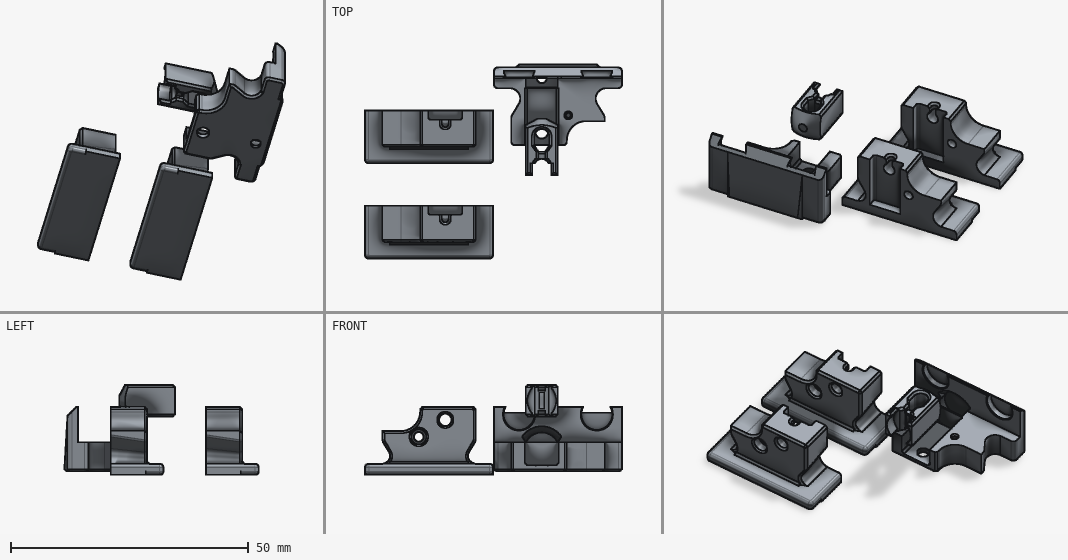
import cadquery as cq
import math

PLATE_LENGTH = 27.0
BLOCK_HALF = 9.85
BLOCK_RISE = 11.95
LEDGE_RISE = 6.9
STEP_OFFSET = 1.9
STEP_RADIUS = 4.0
FOOT_RADIUS = 2.15
NECK_HALF = 7.95
SLOPE_ANGLE = math.atan2(5, 3)
SHOULDER_BEVEL = (0.1, 0.45)
EDGE = 0.5

CHANNEL_OFFSET = 3.4
CHANNEL_WIDTH = 7.15
CHANNEL_DEPTH = 4.85
CHANNEL_CORNER = 0.55

SCREW_OFFSET = 2.15
SCREW_RISE = 5.7
WIRE_HOLE_RISE = 9.25
WIRE_HOLE_DIAMETER = 2.6

BRACKET_FRONTS = (0.0, 20.0)
BRACKET_DEPTH = 11.15
BRACKET_CENTRE = PLATE_LENGTH / 2
BRACKET_PLATE = 2.3
BRACKET_FACE = 3.45
FACE_FOOT_RADIUS = 1.6
FACE_NECK_HALF = 8.2
PLATE_CORNER = 0.85
PLATE_ROUND = 0.75
PLATE_NOSE = 3.8
POCKET_DEPTH = 1.95
WIRE_SLOT_WIDTH = 1.4
WIRE_SLOT_DEPTH = 1.55
WIRE_HOLE_SINK = 0.45
SCREW_HOLE = 2.0
SCREW_HEAD = 3.2
SCREW_HEAD_DEPTH = 2.15
SCREW_SINK = 0.4

TOTAL_LENGTH = 54.1
BASE_CENTRE = TOTAL_LENGTH - PLATE_LENGTH / 2
BASE_BOTTOM = 0.75
SHELF = 6.85
WALL_TOP = 14.3
PLATE_FACE = 35.8
WALL_FACE = 38.0
BASE_BACK = 40.25
WALL_LIP = 0.4
BACK_CORNER = 1.0
PAD_RISE = 0.65
PAD_HALF_TOP = 8.05
PAD_HALF_FOOT = 8.8
PAD_TOP = 12.35
MAGNET_SPACING = 16.35
MAGNET_RADIUS = 3.25
MAGNET_Z = 12.7
MAGNET_DEPTH = 1.55
MAGNET_RIM = 0.15
PILOT_DIAMETER = 1.7
PILOT_TIP = 1.05
PILOT_DEPTH = 3.25
SEAT_RADIUS = 3.75
SEAT_MOUTH_RADIUS = 5.05
SEAT_Z = 5.2
SEAT_FRONT = 36.1
SEAT_BACK = 39.9
SEAT_SPREAD = math.radians(35)
DRAIN_DIAMETER = 2.1
DRAIN_Y = (SEAT_FRONT + SEAT_BACK) / 2

CLIP_CENTRE = BASE_CENTRE - CHANNEL_OFFSET
CLIP_WIDTH = 6.75
CLIP_BOTTOM = 12.3
CLIP_TOP = 18.95
CLIP_HEIGHT = CLIP_TOP - CLIP_BOTTOM
CLIP_MIDDLE = (CLIP_TOP + CLIP_BOTTOM) / 2
CLIP_FRONT = 17.6
CLIP_BACK = 29.4
TIP_RADIUS = 1.0
TAIL_ANGLE = math.radians(28)
KEYHOLE_RADIUS = 1.595
KEYHOLE_BACK = 25.65
KEYHOLE_SHOULDER = 23.75
NECK_BACK = 22.5
CLIP_NECK_HALF = WIRE_SLOT_WIDTH / 2
WEB_HEIGHT = 4.35
WEB_CHAMFER = 0.5
WEB_RECESS_WIDTH = 1.15
WEB_RECESS_HEIGHT = 3.45
WEB_RECESS_DEPTH = 0.15
SADDLE_Y = 19.35
JAW_BACK = 20.1
JAW_HALF = 1.95
JAW_BULGE_HALF = 3.05
JAW_BULGE_HEIGHT = 5.5


def shoulder_block(plane, depth, side):
    """Stepped block without necks; local x is across, local y rises from the plate.

    side is +1 or -1 and tells on which side of the centre the ledge lies.
    """
    step = side * STEP_OFFSET
    ledge_end = side * (STEP_OFFSET + STEP_RADIUS)
    ledge_outer = side * BLOCK_HALF
    round_mid = (
        side * (STEP_OFFSET + STEP_RADIUS * (1 - math.cos(math.pi / 4))),
        LEDGE_RISE + STEP_RADIUS * (1 - math.sin(math.pi / 4)),
    )
    return (
        cq.Workplane(plane)
        .moveTo(-ledge_outer, 0)
        .lineTo(-ledge_outer, BLOCK_RISE)
        .lineTo(step, BLOCK_RISE)
        .lineTo(step, LEDGE_RISE + STEP_RADIUS)
        .threePointArc(round_mid, (ledge_end, LEDGE_RISE))
        .lineTo(ledge_outer, LEDGE_RISE)
        .lineTo(ledge_outer, 0)
        .close()
        .extrude(depth)
    )


def neck_outline(work, side, neck_half, radius):
    """Area cut away beside one neck: foot round, slope, bevel, then out past the block."""
    outer = BLOCK_HALF + FOOT_RADIUS
    centre = neck_half + radius
    tangent_turn = math.pi / 2 - SLOPE_ANGLE
    middle_turn = (tangent_turn - math.pi / 2) / 2

    def on_round(turn):
        return side * (centre - radius * math.cos(turn)), radius * (1 + math.sin(turn))

    tangent = on_round(tangent_turn)
    inset, bevel_rise = SHOULDER_BEVEL
    bevel_start = BLOCK_HALF - inset
    bevel_foot = tangent[1] + (bevel_start - abs(tangent[0])) * math.tan(SLOPE_ANGLE)
    outer_top = bevel_foot + (outer - bevel_start) * bevel_rise / inset
    return (
        work.moveTo(side * outer, 0)
        .lineTo(side * centre, 0)
        .threePointArc(on_round(middle_turn), tangent)
        .lineTo(side * bevel_start, bevel_foot)
        .lineTo(side * outer, outer_top)
        .close()
    )


def rim_flare(outline):
    """Chamfer cutter standing on Z = 0: the grown outline narrows to the plain one over EDGE."""
    wide = outline(EDGE).wires().val()
    narrow = outline(0).wires().val().translate(cq.Vector(0, 0, EDGE))
    return cq.Workplane(cq.Solid.makeLoft([wide, narrow], True))


def bracket_plate():
    """Flat plate with rounded rims; its back end is plain."""
    nose = (
        cq.Workplane("XY")
        .box(PLATE_LENGTH, 2 * PLATE_NOSE, BRACKET_PLATE, centered=(False, False, False))
        .edges("|Z and <Y").fillet(PLATE_CORNER)
        .faces("<Z or >Z").edges("not >Y").fillet(PLATE_ROUND)
    )
    tail = (
        cq.Workplane("XY", origin=(0, PLATE_NOSE, 0))
        .box(PLATE_LENGTH, BRACKET_DEPTH - PLATE_NOSE, BRACKET_PLATE, centered=(False, False, False))
        .edges("|Y and >Z").fillet(PLATE_ROUND)
    )
    return nose.union(tail)


def bracket_block():
    """Shouldered block standing on the plate, its necks narrowing towards the back."""
    back_plane = cq.Plane((BRACKET_CENTRE, BRACKET_DEPTH, BRACKET_PLATE), (1, 0, 0), (0, -1, 0))
    depth = BRACKET_DEPTH - BRACKET_FACE
    block = shoulder_block(back_plane, depth, -1)
    for side in (-1, 1):
        cutter = neck_outline(cq.Workplane(back_plane), side, NECK_HALF, FOOT_RADIUS)
        cutter = neck_outline(
            cutter.workplane(offset=depth), side, FACE_NECK_HALF, FACE_FOOT_RADIUS
        ).loft(ruled=True)
        block = block.cut(cutter)
    block = block.edges("|Y and >Z").chamfer(EDGE)
    return block.faces("<Y").edges("not <Z").chamfer(EDGE)


def foot_bevel():
    """Sloped strip between the block face and the plate."""
    return (
        cq.Workplane("YZ", origin=(BRACKET_CENTRE - FACE_NECK_HALF, 0, BRACKET_PLATE))
        .polyline([(BRACKET_FACE - EDGE, 0), (BRACKET_FACE + EDGE, 0), (BRACKET_FACE, EDGE)])
        .close()
        .extrude(2 * FACE_NECK_HALF)
    )


def sunk_hole(x, z, diameter, sink):
    """Hole along Y through the block with a countersunk mouth at the block face."""
    face = cq.Plane((x, BRACKET_FACE, z), (1, 0, 0), (0, -1, 0))
    hole = cq.Workplane(face).circle(diameter / 2).extrude(-BRACKET_DEPTH)
    mouth = (
        cq.Workplane(face).circle(diameter / 2 + sink)
        .workplane(offset=-sink).circle(diameter / 2).loft()
    )
    return hole, mouth


def make_bracket():
    """One bracket with its plate front at Y = 0."""
    channel_x = BRACKET_CENTRE + CHANNEL_OFFSET
    top = BRACKET_PLATE + BLOCK_RISE
    wire_z = BRACKET_PLATE + WIRE_HOLE_RISE
    pocket = (
        cq.Workplane("XY", origin=(channel_x, BRACKET_DEPTH, BRACKET_PLATE))
        .box(CHANNEL_WIDTH, 2 * POCKET_DEPTH, 2 * BLOCK_RISE, centered=(True, True, False))
        .edges("|Z").fillet(CHANNEL_CORNER)
    )

    def slot_outline(grow):
        return (
            cq.Workplane("XY", origin=(channel_x, BRACKET_DEPTH - POCKET_DEPTH, 0))
            .slot2D(2 * (WIRE_SLOT_DEPTH + grow), WIRE_SLOT_WIDTH + 2 * grow, 90)
        )

    wire_slot = (
        slot_outline(0).extrude(top - wire_z).translate((0, 0, wire_z))
        .union(rim_flare(slot_outline).mirror("XY").translate((0, 0, top)))
    )
    wire_hole, wire_mouth = sunk_hole(channel_x, wire_z, WIRE_HOLE_DIAMETER, WIRE_HOLE_SINK)
    screw_x = BRACKET_CENTRE - SCREW_OFFSET
    screw_z = BRACKET_PLATE + SCREW_RISE
    screw_hole = sunk_hole(screw_x, screw_z, SCREW_HOLE, SCREW_SINK)[0]
    screw_mouth = sunk_hole(screw_x, screw_z, SCREW_HEAD, SCREW_SINK)[1]
    screw_head = (
        cq.Workplane("XZ", origin=(screw_x, BRACKET_FACE, screw_z))
        .circle(SCREW_HEAD / 2).extrude(-SCREW_HEAD_DEPTH)
    )
    bracket = bracket_plate().union(bracket_block()).union(foot_bevel())
    for cutter in (pocket, wire_slot, wire_hole, wire_mouth, screw_hole, screw_head, screw_mouth):
        bracket = bracket.cut(cutter)
    return bracket


def wedge_pad():
    """Pad on the back that fades out towards its top, chamfered at the bottom."""
    pad = (
        cq.Workplane("XY", origin=(BASE_CENTRE, BASE_BACK, BASE_BOTTOM))
        .polyline([
            (-PAD_HALF_FOOT, -EDGE), (-PAD_HALF_FOOT, 0), (-PAD_HALF_TOP, PAD_RISE),
            (PAD_HALF_TOP, PAD_RISE), (PAD_HALF_FOOT, 0), (PAD_HALF_FOOT, -EDGE),
        ])
        .close()
        .extrude(PAD_TOP - BASE_BOTTOM)
    )
    fade = (
        cq.Workplane("YZ", origin=(0, BASE_BACK, 0))
        .polyline([
            (0, PAD_TOP), (PAD_RISE, BASE_BOTTOM + EDGE), (PAD_RISE - EDGE, BASE_BOTTOM),
            (2 * PAD_RISE, BASE_BOTTOM), (2 * PAD_RISE, PAD_TOP),
        ])
        .close()
        .extrude(2 * PLATE_LENGTH)
    )
    return pad.cut(fade)


def base_block():
    """Shouldered block on the plate, lying with its rise along -Y."""
    height = SHELF - BASE_BOTTOM
    shelf = cq.Plane((BASE_CENTRE, PLATE_FACE, SHELF), (1, 0, 0), (0, 0, -1))
    block = shoulder_block(shelf, height, 1).edges("|Z and <Y").chamfer(EDGE)
    for side in (-1, 1):
        cutter = neck_outline(cq.Workplane(shelf), side, NECK_HALF, FOOT_RADIUS).extrude(height)
        block = block.cut(cutter)
    return block


def base_body():
    """Plate, block, wall and pad in one, chamfered around the bottom."""
    plate = (
        cq.Workplane("XY", origin=(BASE_CENTRE, PLATE_FACE, BASE_BOTTOM))
        .box(PLATE_LENGTH, BASE_BACK - PLATE_FACE, SHELF - BASE_BOTTOM, centered=(True, False, False))
        .edges("|Z and <Y").fillet(PLATE_CORNER)
    )
    wall = (
        cq.Workplane("XY", origin=(BASE_CENTRE, WALL_FACE, SHELF))
        .box(PLATE_LENGTH, BASE_BACK - WALL_FACE, WALL_TOP - SHELF, centered=(True, False, False))
    )
    body = plate.union(base_block()).union(wall)
    body = body.edges("|Z and >Y").fillet(BACK_CORNER)
    return body.faces("<Z").edges().chamfer(EDGE).union(wedge_pad())


def wall_bevel():
    """Wedge cut off the upper back of the wall at 45 degrees."""
    bevel = BASE_BACK - WALL_FACE - WALL_LIP
    return (
        cq.Workplane("YZ", origin=(0, BASE_BACK, WALL_TOP))
        .polyline([(-bevel, 0), (0, -bevel), (EDGE, -bevel), (EDGE, 0)])
        .close()
        .extrude(3 * PLATE_LENGTH)
    )


def magnet_pocket(x):
    """Blind round pocket in the wall face with a chamfered rim."""
    face = cq.Plane((x, WALL_FACE, MAGNET_Z), (1, 0, 0), (0, -1, 0))
    pocket = cq.Workplane(face).circle(MAGNET_RADIUS).extrude(-MAGNET_DEPTH)
    rim = (
        cq.Workplane(face).circle(MAGNET_RADIUS + MAGNET_RIM)
        .workplane(offset=-MAGNET_RIM).circle(MAGNET_RADIUS).loft()
    )
    return pocket.union(rim)


def clip_channel():
    """Channel along Y through the block, chamfered along its floor."""
    length = BLOCK_RISE
    floor = SHELF - CHANNEL_DEPTH
    return (
        cq.Workplane("XY", origin=(CLIP_CENTRE, PLATE_FACE - length, floor))
        .box(CHANNEL_WIDTH, length, 2 * CHANNEL_DEPTH, centered=(True, False, False))
        .edges("|Y and <Z").chamfer(CHANNEL_CORNER)
    )


def round_seat():
    """Round seat along Y behind the channel, open upwards and widening towards the wall face."""
    mouth_depth = SEAT_BACK - WALL_FACE
    seat = (
        cq.Workplane("XZ", origin=(CLIP_CENTRE, SEAT_FRONT, SEAT_Z))
        .circle(SEAT_RADIUS).extrude(SEAT_FRONT - SEAT_BACK)
    )
    flare = (
        cq.Workplane("XZ", origin=(CLIP_CENTRE, WALL_FACE, SEAT_Z))
        .circle(SEAT_MOUTH_RADIUS).workplane(offset=-mouth_depth).circle(SEAT_RADIUS).loft()
    )
    shelf_half = math.sqrt(SEAT_RADIUS ** 2 - (SHELF - SEAT_Z) ** 2)
    rise = SEAT_MOUTH_RADIUS
    spread = shelf_half + rise * math.tan(SEAT_SPREAD)
    opening = (
        cq.Workplane("XZ", origin=(CLIP_CENTRE, WALL_FACE, SHELF))
        .polyline([(-shelf_half, 0), (shelf_half, 0), (spread, rise), (-spread, rise)])
        .close()
        .extrude(-mouth_depth)
    )
    headroom = (
        cq.Workplane("XY", origin=(CLIP_CENTRE, SEAT_FRONT, SHELF))
        .box(2 * SEAT_RADIUS, WALL_FACE - SEAT_FRONT, SEAT_RADIUS, centered=(True, False, False))
    )
    return seat.union(flare.intersect(opening)).cut(headroom)


def make_base():
    """Base with all its pockets and holes."""
    base = base_body().cut(wall_bevel())
    for side in (-1, 1):
        base = base.cut(magnet_pocket(BASE_CENTRE + side * MAGNET_SPACING / 2))
    base = base.cut(clip_channel()).cut(round_seat())
    drain = (
        cq.Workplane("XY", origin=(CLIP_CENTRE, DRAIN_Y, 0))
        .circle(DRAIN_DIAMETER / 2).extrude(SEAT_Z)
    )
    wire_y = PLATE_FACE - WIRE_HOLE_RISE
    wire_hole = (
        cq.Workplane("XY", origin=(CLIP_CENTRE, wire_y, 0))
        .circle(WIRE_HOLE_DIAMETER / 2).extrude(SHELF)
    )
    pilot_place = (BASE_CENTRE + SCREW_OFFSET, PLATE_FACE - SCREW_RISE, SHELF)
    pilot_plane = cq.Workplane("XY", origin=pilot_place)
    sink = (PILOT_DIAMETER - PILOT_TIP) / 2
    pilot = (
        pilot_plane.circle(PILOT_DIAMETER / 2)
        .workplane(offset=-sink).circle(PILOT_TIP / 2).loft()
        .union(pilot_plane.circle(PILOT_TIP / 2).extrude(-PILOT_DEPTH))
    )
    return base.cut(drain).cut(wire_hole).cut(pilot)


def clip_blank():
    """Chamfered bar whose back end tapers as a cone."""
    length = CLIP_BACK - CLIP_FRONT
    blank = (
        cq.Workplane("XY", origin=(CLIP_CENTRE, CLIP_FRONT, CLIP_BOTTOM))
        .box(CLIP_WIDTH, length, CLIP_HEIGHT, centered=(True, False, False))
        .edges("|Y").chamfer(EDGE)
        .faces("<Y").edges("|X").chamfer(EDGE)
    )
    reach = CLIP_WIDTH
    taper = reach * math.tan(TAIL_ANGLE)
    tail = (
        cq.Workplane("XY", origin=(CLIP_CENTRE, CLIP_BACK, CLIP_MIDDLE))
        .polyline([
            (0, 0), (TIP_RADIUS, 0), (TIP_RADIUS + reach, -taper),
            (TIP_RADIUS + reach, -length), (0, -length),
        ])
        .close()
        .revolve(360, (0, 0), (0, 1))
    )
    return blank.intersect(tail)


def keyhole(grow):
    """Keyhole outline in plan, its neck running forward to the saddle axis, widened by grow."""
    round_end = KEYHOLE_RADIUS + grow
    neck = CLIP_NECK_HALF + grow
    return (
        cq.Workplane("XY", origin=(CLIP_CENTRE, 0, 0))
        .moveTo(-neck, SADDLE_Y)
        .lineTo(-neck, NECK_BACK)
        .lineTo(-round_end, KEYHOLE_SHOULDER)
        .lineTo(-round_end, KEYHOLE_BACK)
        .threePointArc((0, KEYHOLE_BACK + round_end), (round_end, KEYHOLE_BACK))
        .lineTo(round_end, KEYHOLE_SHOULDER)
        .lineTo(neck, NECK_BACK)
        .lineTo(neck, SADDLE_Y)
        .close()
    )


def flared(outline):
    """Through cutter of an outline that takes a growth, chamfered at both ends of the clip."""
    straight = outline(0).extrude(CLIP_HEIGHT).translate((0, 0, CLIP_BOTTOM))
    flare = rim_flare(outline)
    lower = flare.translate((0, 0, CLIP_BOTTOM))
    upper = flare.mirror("XY").translate((0, 0, CLIP_TOP))
    return straight.union(lower).union(upper)


def saddle(grow):
    """Round seat outline in front of the neck, widened by grow."""
    return cq.Workplane("XY", origin=(CLIP_CENTRE, SADDLE_Y, 0)).circle(KEYHOLE_RADIUS + grow)


def neck_web():
    """Web that closes the neck at mid height, behind the saddle."""
    web = (
        cq.Workplane("XY", origin=(CLIP_CENTRE, SADDLE_Y, CLIP_MIDDLE))
        .box(2 * CLIP_NECK_HALF, NECK_BACK - SADDLE_Y, WEB_HEIGHT, centered=(True, False, True))
        .faces(">Y").edges("|X").chamfer(WEB_CHAMFER)
    )
    recess = (
        cq.Workplane("XY", origin=(CLIP_CENTRE, SADDLE_Y, CLIP_MIDDLE))
        .box(WEB_RECESS_WIDTH, KEYHOLE_RADIUS + WEB_RECESS_DEPTH, WEB_RECESS_HEIGHT,
             centered=(True, False, True))
    )
    return web.cut(recess)


def jaw_gap():
    """Gap between the jaws, bulging outwards at mid height and chamfered at both ends."""
    half_bulge = JAW_BULGE_HEIGHT / 2
    half_height = CLIP_HEIGHT / 2
    return (
        cq.Workplane("XZ", origin=(CLIP_CENTRE, JAW_BACK, CLIP_MIDDLE))
        .moveTo(-JAW_HALF - EDGE, -half_height)
        .lineTo(-JAW_HALF, EDGE - half_height)
        .lineTo(-JAW_HALF, -half_bulge)
        .threePointArc((-JAW_BULGE_HALF, 0), (-JAW_HALF, half_bulge))
        .lineTo(-JAW_HALF, half_height - EDGE)
        .lineTo(-JAW_HALF - EDGE, half_height)
        .lineTo(JAW_HALF + EDGE, half_height)
        .lineTo(JAW_HALF, half_height - EDGE)
        .lineTo(JAW_HALF, half_bulge)
        .threePointArc((JAW_BULGE_HALF, 0), (JAW_HALF, -half_bulge))
        .lineTo(JAW_HALF, EDGE - half_height)
        .lineTo(JAW_HALF + EDGE, -half_height)
        .close()
        .extrude(CLIP_WIDTH)
    )


def make_clip():
    """Clip with keyhole, saddle and open jaws."""
    return (
        clip_blank()
        .cut(flared(keyhole).cut(neck_web()))
        .cut(flared(saddle))
        .cut(jaw_gap())
    )


brackets = [make_bracket().translate((0, front, 0)) for front in BRACKET_FRONTS]
base = make_base()
clip = make_clip()
result = cq.Compound.makeCompound([*(b.val() for b in brackets), base.val(), clip.val()])